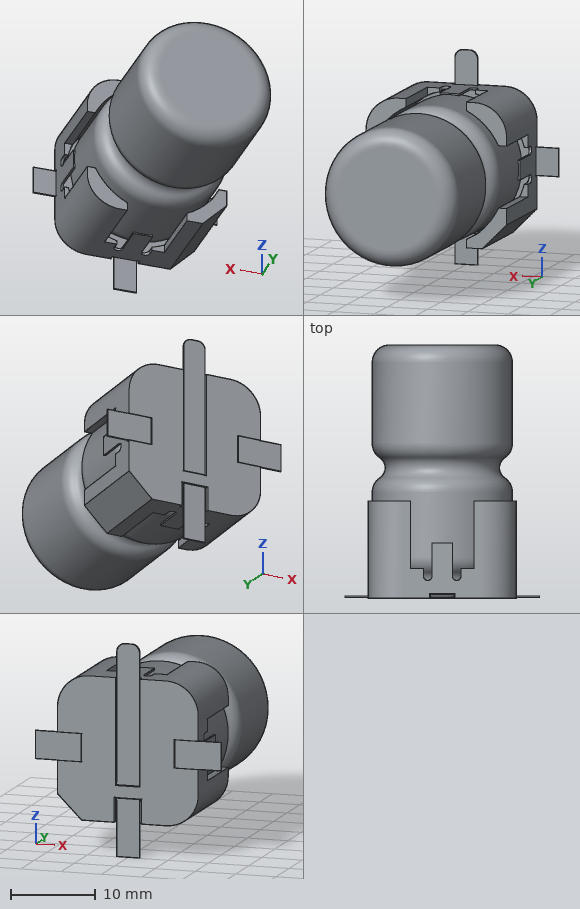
import cadquery as cq
import math


TOTAL_LENGTH = 29.9
SPAN_X = 23.0
SPAN_Z = 25.7

CAN_RADIUS = 8.28
CAN_TOP_ROUND = 2.05
GROOVE_DEPTH = 1.52
SHOULDER_RADIUS = 2.0
THROAT_RADIUS = 1.45
UPPER_GROOVE_Y = 15.4
CAN_BOTTOM = 1.85

GROOVE_ANGLE = math.acos(1 - GROOVE_DEPTH / (SHOULDER_RADIUS + THROAT_RADIUS))
GROOVE_HALF_WIDTH = (SHOULDER_RADIUS + THROAT_RADIUS) * math.sin(GROOVE_ANGLE)

BASE_WIDTH = 17.45
BASE_HEIGHT = 11.5
BASE_CORNER_RADIUS = 3.98
BASE_CHAMFER = 3.02
POCKET_CLEARANCE = 0.3
POCKET_RADIUS = CAN_RADIUS + POCKET_CLEARANCE

WINDOW_WIDTH = 7.48
WINDOW_SILL = 3.53
TONGUE_WIDTH = 2.4
TONGUE_TOP = 6.55
RELIEF_WIDTH = 1.02
RELIEF_BOTTOM = 2.12

TERMINAL_THICKNESS = 0.2
TERMINAL_RECESS = 0.1
TERMINAL_BACK = TERMINAL_RECESS + TERMINAL_THICKNESS
SLOT_GAP = 0.1
LEAD_WIDTH = 2.8
LEAD_BEND_RADIUS = 0.15
LONG_LEAD_TIP_RADIUS = 1.0
LONG_SLOT_END = -4.28
LONG_SLOT_WIDTH = LEAD_WIDTH + 2 * SLOT_GAP
LONG_SLOT_DEPTH = 0.6
SHORT_SLOT_END = 5.7
SHORT_SLOT_WIDTH = 3.4
SHORT_SLOT_DEPTH = 0.5


def box(x0, x1, y0, y1, z0, z1):
    """Box between two opposite corners."""
    return cq.Workplane("XY").box(x1 - x0, y1 - y0, z1 - z0, centered=False).translate((x0, y0, z0))


def groove_arcs(profile, center_y, side, inward):
    """Draw one side of a groove (side +1 above its middle, -1 below), inward or outward."""
    throat_radius = CAN_RADIUS - GROOVE_DEPTH

    def shoulder(angle):
        radius = CAN_RADIUS - SHOULDER_RADIUS * (1 - math.cos(angle))
        return (radius, center_y + side * (GROOVE_HALF_WIDTH - SHOULDER_RADIUS * math.sin(angle)))

    def throat(angle):
        radius = throat_radius + THROAT_RADIUS * (1 - math.cos(angle))
        return (radius, center_y + side * THROAT_RADIUS * math.sin(angle))

    half_angle = GROOVE_ANGLE / 2
    if inward:
        profile = profile.threePointArc(shoulder(half_angle), shoulder(GROOVE_ANGLE))
        return profile.threePointArc(throat(half_angle), throat(0))
    profile = profile.threePointArc(throat(half_angle), throat(GROOVE_ANGLE))
    return profile.threePointArc(shoulder(half_angle), shoulder(0))


def make_can():
    """Turned can with a rounded top, a crimp groove and a necked-in bottom."""
    profile = (
        cq.Workplane("XY")
        .moveTo(0, TOTAL_LENGTH)
        .lineTo(CAN_RADIUS - CAN_TOP_ROUND, TOTAL_LENGTH)
        .radiusArc((CAN_RADIUS, TOTAL_LENGTH - CAN_TOP_ROUND), CAN_TOP_ROUND)
        .lineTo(CAN_RADIUS, UPPER_GROOVE_Y + GROOVE_HALF_WIDTH)
    )
    profile = groove_arcs(profile, UPPER_GROOVE_Y, 1, True)
    profile = groove_arcs(profile, UPPER_GROOVE_Y, -1, False)
    profile = profile.lineTo(CAN_RADIUS, CAN_BOTTOM + GROOVE_HALF_WIDTH)
    profile = groove_arcs(profile, CAN_BOTTOM, 1, True)
    return profile.lineTo(0, CAN_BOTTOM).close().revolve(360, (0, 0, 0), (0, 1, 0))


def make_window():
    """Cutter for one pair of opposite windows, running through along Z, with a tongue left standing."""
    half = WINDOW_WIDTH / 2
    reach = BASE_WIDTH / 2
    window = box(-half, half, WINDOW_SILL, BASE_HEIGHT, -reach, reach)
    tongue_half = TONGUE_WIDTH / 2
    window = window.cut(box(-tongue_half, tongue_half, WINDOW_SILL, TONGUE_TOP, -reach, reach))
    relief_radius = RELIEF_WIDTH / 2
    relief_center = RELIEF_BOTTOM + relief_radius
    for side in (-1, 1):
        x = side * (tongue_half + relief_radius)
        slot = box(x - relief_radius, x + relief_radius, relief_center, WINDOW_SILL, -reach, reach)
        slot_end = (
            cq.Workplane("XY", origin=(x, relief_center, -reach)).circle(relief_radius).extrude(2 * reach)
        )
        window = window.union(slot).union(slot_end)
    return window


def make_base():
    """Square base with a can pocket, four windows, terminal slots and two side pads."""
    half = BASE_WIDTH / 2
    base = box(-half, half, 0, BASE_HEIGHT, -half, half)
    base = base.edges("|Y").edges("<X and <Z").chamfer(BASE_CHAMFER)
    base = base.edges("|Y").edges(">X or >Z").fillet(BASE_CORNER_RADIUS)

    pocket = (
        cq.Workplane("XZ", origin=(0, CAN_BOTTOM, 0)).circle(POCKET_RADIUS).extrude(CAN_BOTTOM - BASE_HEIGHT)
    )
    base = base.cut(pocket)

    window = make_window()
    for angle in (0, 90):
        base = base.cut(window.rotate((0, 0, 0), (0, 1, 0), angle))

    long_half = LONG_SLOT_WIDTH / 2
    base = base.cut(box(-long_half, long_half, 0, LONG_SLOT_DEPTH, LONG_SLOT_END, half))

    short_half = SHORT_SLOT_WIDTH / 2
    short_slot = box(-short_half, short_half, 0, SHORT_SLOT_DEPTH, -half, -SHORT_SLOT_END)
    for angle in (-90, 0, 90):
        base = base.cut(short_slot.rotate((0, 0, 0), (0, 1, 0), angle))

    pad_inner = SHORT_SLOT_END + SLOT_GAP
    for x0, x1 in ((-SPAN_X / 2, -pad_inner), (pad_inner, SPAN_X / 2)):
        base = base.union(box(x0, x1, TERMINAL_RECESS, TERMINAL_BACK, -short_half, short_half))
    return base


def make_lead(inner_z, outer_z, slot_depth):
    """Flat lead from inner_z to outer_z, its inner end bent up to rest on the slot floor."""
    half = LEAD_WIDTH / 2
    outward = math.copysign(1, outer_z - inner_z)
    leg_z = inner_z + outward * TERMINAL_THICKNESS
    return (
        cq.Workplane("YZ", origin=(-half, 0, 0))
        .moveTo(TERMINAL_RECESS, inner_z)
        .lineTo(TERMINAL_RECESS, outer_z)
        .lineTo(TERMINAL_BACK, outer_z)
        .lineTo(TERMINAL_BACK, leg_z + outward * LEAD_BEND_RADIUS)
        .radiusArc((TERMINAL_BACK + LEAD_BEND_RADIUS, leg_z), outward * LEAD_BEND_RADIUS)
        .lineTo(slot_depth, leg_z)
        .lineTo(slot_depth, inner_z)
        .close()
        .extrude(LEAD_WIDTH)
    )


def make_long_lead():
    """Long lead with a rounded tip, on the +Z side."""
    lead = make_lead(LONG_SLOT_END + SLOT_GAP, SPAN_Z / 2, LONG_SLOT_DEPTH)
    return lead.faces(">Z").edges("|Y").fillet(LONG_LEAD_TIP_RADIUS)


def make_short_lead():
    """Short square-ended lead, on the -Z side."""
    return make_lead(-SHORT_SLOT_END - SLOT_GAP, -SPAN_Z / 2, SHORT_SLOT_DEPTH)


can = make_can()
base = make_base()
long_lead = make_long_lead()
short_lead = make_short_lead()

result = cq.Compound.makeCompound([can.val(), base.val(), long_lead.val(), short_lead.val()])